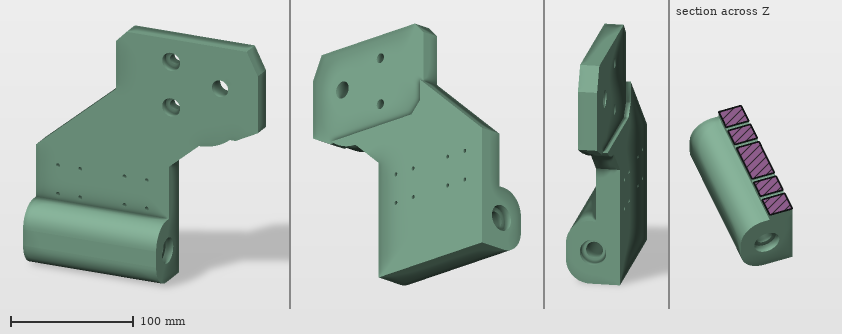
import cadquery as cq
import math

total_width = 200.11
total_depth = 45.0
total_height = 212.26

leaf_width = 120.0
leaf_shoulder_z = 99.7
leaf_thickness = 20.0
barrel_height = 54.0
barrel_radius = 20.0
bore_diameter = 14.0
bearing_diameter = 22.0
bearing_depth = 7.0

arm_angle = math.radians(40)
lobe_start_x = 147.0
lobe_end_x = 175.0
lobe_radius = 45.0

relief_depth = 4.0
head_width = 128.0
head_height = 80.0
left_corner_cut = 9.8
upper_right_cut_x = 10.0
upper_right_cut_z = 20.0
lower_right_cut_x = 20.0
lower_right_cut_z = 10.0

bolt_x = 122.0
upper_bolt_from_top = 20.0
bolt_spacing = 40.0
bolt_diameter = 8.4
bolt_head_diameter = 16.0
bolt_head_depth = 7.0
pin_from_right = 34.0
pin_from_top = 36.4
pin_diameter = 14.58

screw_diameter = 3.4
screw_x_positions = (20.0, 40.0, 80.0, 100.0)
upper_screw_below_shoulder = 15.0
screw_row_spacing = 25.0

head_left_x = total_width - head_width
head_bottom_z = total_height - head_height
arm_top_z = leaf_shoulder_z + head_left_x * math.tan(arm_angle)
lobe_start_z = leaf_shoulder_z + (lobe_start_x - leaf_width) * math.tan(arm_angle)
upper_bolt_z = total_height - upper_bolt_from_top
bolt_points = [(bolt_x, upper_bolt_z), (bolt_x, upper_bolt_z - bolt_spacing)]
pin_points = [(total_width - pin_from_right, total_height - pin_from_top)]
upper_screw_z = leaf_shoulder_z - upper_screw_below_shoulder
screw_z_positions = (upper_screw_z - screw_row_spacing, upper_screw_z)
screw_points = [(x, z) for x in screw_x_positions for z in screw_z_positions]


def front_plane(y):
    """XZ plane at the given Y, with its normal toward -Y."""
    return cq.Workplane("XZ", origin=(0, y, 0))


def make_plate():
    """Flat plate: leaf, sloping arm and head in one outline."""
    return (
        front_plane(0)
        .moveTo(0, 0)
        .lineTo(leaf_width, 0)
        .lineTo(leaf_width, leaf_shoulder_z)
        .lineTo(lobe_start_x, lobe_start_z)
        .radiusArc((lobe_end_x, head_bottom_z), -lobe_radius)
        .lineTo(total_width - lower_right_cut_x, head_bottom_z)
        .lineTo(total_width, head_bottom_z + lower_right_cut_z)
        .lineTo(total_width, total_height - upper_right_cut_z)
        .lineTo(total_width - upper_right_cut_x, total_height)
        .lineTo(head_left_x + left_corner_cut, total_height)
        .lineTo(head_left_x, total_height - left_corner_cut)
        .lineTo(head_left_x, arm_top_z)
        .lineTo(0, leaf_shoulder_z)
        .close()
        .extrude(leaf_thickness)
    )


def make_head_relief():
    """Material removed from the back of the head, down to its level lower edge and chamfered corner."""
    return (
        front_plane(0)
        .moveTo(head_left_x, head_bottom_z + left_corner_cut)
        .lineTo(head_left_x + left_corner_cut, head_bottom_z)
        .lineTo(total_width, head_bottom_z)
        .lineTo(total_width, total_height)
        .lineTo(head_left_x, total_height)
        .close()
        .extrude(relief_depth)
    )


def make_barrel():
    """Hinge barrel: a block along the leaf bottom with rounded front edges."""
    return (
        cq.Workplane("XY")
        .box(leaf_width, total_depth, barrel_height, centered=False)
        .translate((0, -total_depth, 0))
        .edges("|X and <Y")
        .fillet(barrel_radius)
    )


def cylinder_along_x(diameter, start_x, length):
    """Cylinder on the barrel axis."""
    plane = cq.Workplane("YZ", origin=(start_x, -total_depth / 2, barrel_height / 2))
    return plane.circle(diameter / 2).extrude(length)


def holes_from_front(points, diameter, depth):
    """Cylinders that enter the front face of the plate."""
    return front_plane(-leaf_thickness).pushPoints(points).circle(diameter / 2).extrude(-depth)


def cut_barrel_bore(body):
    """Through bore with a bearing seat at each end of the barrel."""
    body = body.cut(cylinder_along_x(bore_diameter, 0, leaf_width))
    for seat_x in (0, leaf_width - bearing_depth):
        body = body.cut(cylinder_along_x(bearing_diameter, seat_x, bearing_depth))
    return body


def cut_plate_holes(body):
    """Bolt, pin and screw holes through the plate, with bolt head seats on the front."""
    body = body.cut(holes_from_front(bolt_points, bolt_diameter, leaf_thickness))
    body = body.cut(holes_from_front(bolt_points, bolt_head_diameter, bolt_head_depth))
    body = body.cut(holes_from_front(pin_points, pin_diameter, leaf_thickness))
    return body.cut(holes_from_front(screw_points, screw_diameter, leaf_thickness))


result = make_plate().cut(make_head_relief()).union(make_barrel())
result = cut_barrel_bore(result)
result = cut_plate_holes(result)